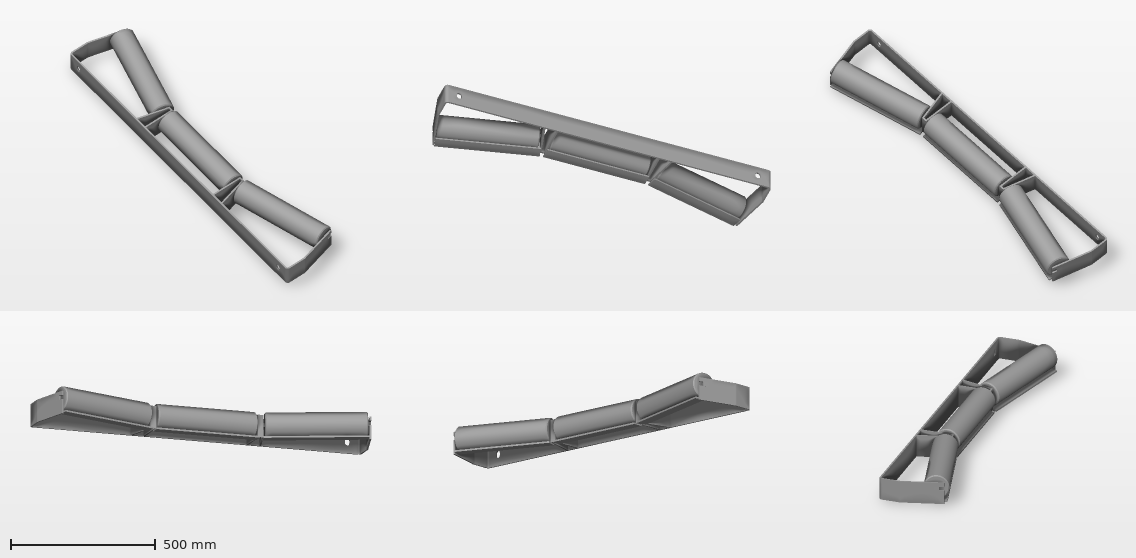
import cadquery as cq
import math

frame_length = 1210.0
strip_height = 80.0
strip_thickness = 6.0
bend_radius = 12.0
trough_angle = 15.0
arm_bend_y = 79.0
arm_end_y = 226.0

mount_hole_x = 554.0
mount_hole_z = 41.0
mount_hole_width = 18.0
mount_hole_height = 25.0

upright_leg_x = 189.0
leaning_leg_foot_x = 237.0
bridge_top_y = 126.0

roller_diameter = 90.0
roller_end_gap = 5.0
roller_chamfer = 4.0
shaft_depth = 19.0
shaft_width = 15.0
side_roller_tilt = 1.5
center_axis_y = 99.0
outer_axis_y = 198.0
outer_axis_z = 58.0

bar_width = 39.0
bar_thickness = 6.0
bar_roller_gap = 2.0
side_bar_trim = 6.0

half_length = frame_length / 2
half_thickness = strip_thickness / 2
sin_lean = math.sin(math.radians(trough_angle))
cos_lean = math.cos(math.radians(trough_angle))
tan_lean = math.tan(math.radians(trough_angle))

arm_axis_x = half_length - half_thickness - (outer_axis_y - arm_bend_y) * tan_lean
leg_axis_x = leaning_leg_foot_x - outer_axis_y * tan_lean
side_span = (arm_axis_x - leg_axis_x) * cos_lean
center_span = 2 * upright_leg_x
side_middle_x = arm_axis_x - side_span / 2 * cos_lean
side_middle_y = outer_axis_y - side_span / 2 * sin_lean
half_rise = side_span / 2 * math.tan(math.radians(side_roller_tilt))
side_middle_z = outer_axis_z - half_rise
center_axis_z = outer_axis_z - 2 * half_rise


def mirrored(shape):
    """The same shape on the other side of the middle plane."""
    return shape.mirror("YZ")


def place_center(shape):
    """Move a shape built along X at the origin to the middle roller axis."""
    return shape.translate((0, center_axis_y, center_axis_z))


def place_side(shape):
    """Move a shape built along X at the origin to the +X side roller axis."""
    return (
        shape.rotate((0, 0, 0), (0, 1, 0), -side_roller_tilt)
        .rotate((0, 0, 0), (0, 0, 1), trough_angle)
        .translate((side_middle_x, side_middle_y, side_middle_z))
    )


def make_shaft(span):
    """Flat-sided shaft, flush with the outer faces of both legs."""
    return cq.Workplane("XY").box(span + strip_thickness, shaft_depth, shaft_width)


def make_arm_slot(span):
    """Slot with the width of the shaft, open to +Y, at the +X end only."""
    slot_depth = shaft_depth / 2 + 2 * (arm_end_y - outer_axis_y)
    return (
        cq.Workplane("XY")
        .box(4 * strip_thickness, slot_depth, shaft_width, centered=(True, False, True))
        .translate((span / 2, -shaft_depth / 2, 0))
    )


def make_bar(span, end_trim=0):
    """Flat bar between the middle planes of both legs, cut short by end_trim at its +X end."""
    bar_bottom_z = -roller_diameter / 2 - bar_roller_gap - bar_thickness
    return (
        cq.Workplane("XY")
        .box(span - end_trim, bar_width, bar_thickness, centered=False)
        .translate((-span / 2, 0, bar_bottom_z))
    )


def round_bends(half, corners, radius):
    """Round the upright edges that pass through the given plan points."""
    for corner in corners:
        nearest = cq.selectors.NearestToPointSelector((*corner, strip_height / 2))
        half = half.edges("|Z").edges(nearest).fillet(radius)
    return half


def make_half_frame():
    """The +X half of the strip: half the base and one leaning arm."""
    inner_x = half_length - strip_thickness
    bend_shift = strip_thickness * math.tan(math.radians(trough_angle / 2))
    base_corner = (half_length, 0)
    base_inner_corner = (inner_x, strip_thickness)
    lean_corner = (half_length, arm_bend_y)
    lean_inner_corner = (inner_x, arm_bend_y - bend_shift)
    tip_x = half_length - (arm_end_y - arm_bend_y) * tan_lean
    tip_corner = (tip_x, arm_end_y)
    tip_inner_corner = (tip_x - strip_thickness * cos_lean, arm_end_y - strip_thickness * sin_lean)
    outline = [
        (0, 0),
        base_corner,
        lean_corner,
        tip_corner,
        tip_inner_corner,
        lean_inner_corner,
        base_inner_corner,
        (0, strip_thickness),
    ]
    half = cq.Workplane("XY").polyline(outline).close().extrude(strip_height)
    half = round_bends(half, [base_corner, lean_corner], bend_radius)
    inner_radius = bend_radius - strip_thickness
    return round_bends(half, [base_inner_corner, lean_inner_corner], inner_radius)


def make_mount_hole():
    return (
        cq.Workplane("XZ", origin=(mount_hole_x, strip_thickness, mount_hole_z))
        .slot2D(mount_hole_height, mount_hole_width, 90)
        .extrude(strip_thickness)
    )


def make_frame():
    half = make_half_frame().cut(place_side(make_arm_slot(side_span))).cut(make_mount_hole())
    return half.union(mirrored(half))


def bracket_outline(inset, foot_y, top_y):
    """Trapezoid between the legs' middle planes, each side moved inward by inset."""
    lean_inset = inset / cos_lean
    upright_x = upright_leg_x + inset
    return [
        (upright_x, foot_y),
        (leaning_leg_foot_x - foot_y * tan_lean - lean_inset, foot_y),
        (leaning_leg_foot_x - top_y * tan_lean - lean_inset, top_y),
        (upright_x, top_y),
    ]


def make_bracket():
    outside = bracket_outline(-half_thickness, strip_thickness, bridge_top_y)
    inside = bracket_outline(half_thickness, strip_thickness, bridge_top_y - strip_thickness)
    bracket = cq.Workplane("XY").polyline(outside).close().extrude(strip_height)
    opening = cq.Workplane("XY").polyline(inside).close().extrude(strip_height)
    return (
        bracket.cut(opening)
        .cut(place_center(make_shaft(center_span)))
        .cut(place_center(make_bar(center_span)))
        .cut(place_side(make_shaft(side_span)))
        .cut(place_side(make_bar(side_span)))
    )


def make_roller(span):
    shell_length = span - strip_thickness - 2 * roller_end_gap
    shell = (
        cq.Workplane("YZ", origin=(-shell_length / 2, 0, 0))
        .circle(roller_diameter / 2)
        .extrude(shell_length)
        .faces("<X or >X")
        .edges()
        .chamfer(roller_chamfer)
    )
    return shell.union(make_shaft(span))


frame = make_frame()
bracket = make_bracket()
brackets = [bracket, mirrored(bracket)]
side_roller = place_side(make_roller(side_span))
rollers = [place_center(make_roller(center_span)), side_roller, mirrored(side_roller)]
side_bar = place_side(make_bar(side_span, side_bar_trim))
bars = [place_center(make_bar(center_span)), side_bar, mirrored(side_bar)]

bodies = [frame, *brackets, *rollers, *bars]
result = cq.Compound.makeCompound([body.solids().val() for body in bodies])